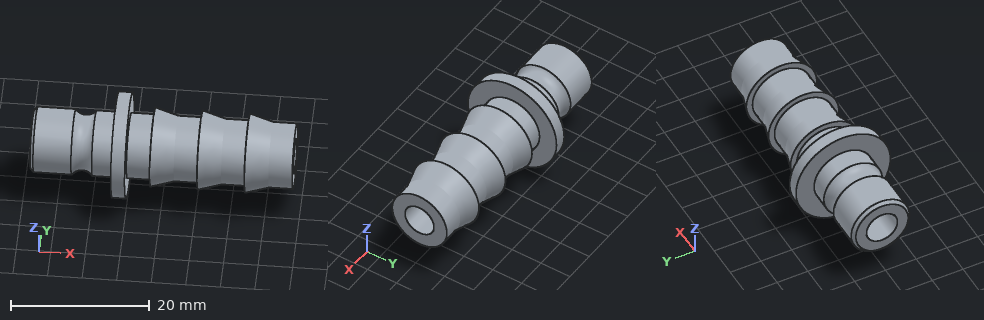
import cadquery as cq

LENGTH = 38.0
STEM_RADIUS = 4.75
BORE_DIAMETER = 5.0
TIP_CHAMFER = 0.5

GROOVE_CENTER = 7.5
GROOVE_WIDTH = 3.0
GROOVE_DEPTH = 0.72

COLLAR_START = 12.0
COLLAR_WIDTH = 2.0
COLLAR_DIAMETER = 15.4
COLLAR_RADIUS = COLLAR_DIAMETER / 2
COLLAR_END = COLLAR_START + COLLAR_WIDTH

BARB_COUNT = 3
BARB_RADIUS = 5.75
BAND_WIDTH = (LENGTH - COLLAR_END) / (2 * BARB_COUNT + 1)


def add_plug(outline):
    """Chamfered tip and arc-shaped locking groove."""
    groove_start = GROOVE_CENTER - GROOVE_WIDTH / 2
    groove_end = GROOVE_CENTER + GROOVE_WIDTH / 2
    return (
        outline.lineTo(0, STEM_RADIUS - TIP_CHAMFER)
        .lineTo(TIP_CHAMFER, STEM_RADIUS)
        .lineTo(groove_start, STEM_RADIUS)
        .threePointArc((GROOVE_CENTER, STEM_RADIUS - GROOVE_DEPTH), (groove_end, STEM_RADIUS))
    )


def add_collar(outline):
    """Square-edged flange."""
    return (
        outline.lineTo(COLLAR_START, STEM_RADIUS)
        .lineTo(COLLAR_START, COLLAR_RADIUS)
        .lineTo(COLLAR_END, COLLAR_RADIUS)
        .lineTo(COLLAR_END, STEM_RADIUS)
    )


def add_barb(outline, start):
    """Steep face towards the collar, then a taper down to the stem."""
    return (
        outline.lineTo(start, STEM_RADIUS)
        .lineTo(start, BARB_RADIUS)
        .lineTo(start + BAND_WIDTH, STEM_RADIUS)
    )


outline = cq.Workplane("XZ").moveTo(0, 0)
outline = add_plug(outline)
outline = add_collar(outline)
for i in range(BARB_COUNT):
    outline = add_barb(outline, COLLAR_END + (2 * i + 1) * BAND_WIDTH)
outline = outline.lineTo(LENGTH, STEM_RADIUS).lineTo(LENGTH, 0).close()

body = outline.revolve(360, (0, 0, 0), (1, 0, 0))
bore = cq.Workplane("YZ").circle(BORE_DIAMETER / 2).extrude(LENGTH)

result = body.cut(bore)